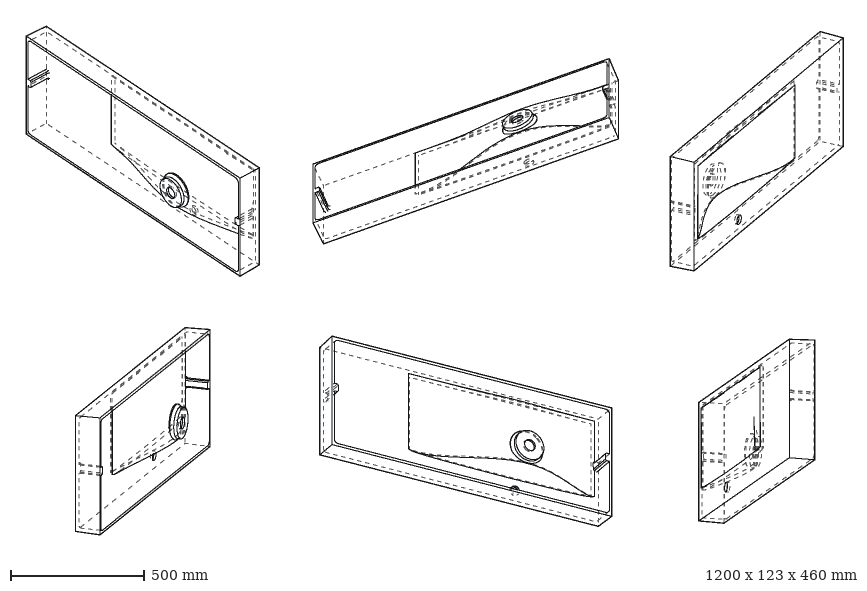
import cadquery as cq
import math

length = 1200.0
width = 460.0
height = 100.0
side_draft = 2.0

floor_thickness = 10.0
side_wall = 10.0
top_wall = 12.0
bottom_wall = 11.0
pocket_corner = 17.0
floor_fillet = 7.0

lug_reach = 18.0
lug_width = 32.0
lug_bevel = 5.0
lug_z = 17.0

bowl_left = -222.0
bowl_right = 575.0
bowl_edge_gap = 22.0
bowl_top = width / 2 - bowl_edge_gap
bowl_base_end = -112.0
bowl_base = -125.0
bowl_wall_lean = 26.0
bowl_depth = 92.0
bowl_wall = 10.0
least_fade = 0.01
base_power = 0.3
bowl_stations = 17
left_power = 2.0
right_power = 1.3

drain_x = 236.0
drain_z = -30.0
boss_radius = 70.0
boss_root_y = 12.0
boss_shoulder_y = 2.0
boss_front_y = -10.0
drain_radius = 60.0
drain_front_y = -23.0
drain_hole_radius = 23.0
drain_hole_depth = 8.0
tap_x = drain_x
tap_z = -170.0
tap_radius = 18.0

floor_y = height - floor_thickness
cut_margin = 12.0


def plane_at(y, x=0.0, z=0.0):
    """Workplane normal to +Y at height y, with local x = X and local y = -Z."""
    return cq.Workplane(cq.Plane(origin=(x, y, z), xDir=(1, 0, 0), normal=(0, 1, 0)))


def make_block():
    """Outer block, widest at its open face and leaning in towards the back."""
    taper = math.degrees(math.atan(side_draft / height))
    return plane_at(0).rect(length, width).extrude(height, taper=taper)


def make_lug(side):
    """Bevelled bar on one end wall, standing from the floor to the rim (side is -1 or 1)."""
    wall_x = side * (length / 2 - side_wall)
    tip_x = wall_x - side * lug_reach
    half = lug_width / 2
    lug = plane_at(0, z=lug_z).polyline([
        (wall_x, -half),
        (tip_x + side * lug_bevel, -half),
        (tip_x, -half + lug_bevel),
        (tip_x, half - lug_bevel),
        (tip_x + side * lug_bevel, half),
        (wall_x, half),
    ])
    return lug.close().extrude(floor_y)


def make_pocket():
    """Void of the tray: rounded corners, lugs left standing and a filleted floor."""
    pocket_width = width - top_wall - bottom_wall
    pocket_z = (bottom_wall - top_wall) / 2
    pocket = (
        plane_at(0, z=pocket_z)
        .rect(length - 2 * side_wall, pocket_width)
        .extrude(floor_y)
        .edges("|Y").fillet(pocket_corner)
    )
    for side in (-1, 1):
        pocket = pocket.cut(make_lug(side))
    return pocket.faces(">Y").edges().fillet(floor_fillet)


def bowl_fade(x):
    """Fraction of the full bowl depth reached at x: almost 0 at both ends, 1 above the drain."""
    if x < drain_x:
        reach, power = (x - bowl_left) / (drain_x - bowl_left), left_power
    else:
        reach, power = (bowl_right - x) / (bowl_right - drain_x), right_power
    return max(math.sin(math.pi / 2 * max(reach, 0)) ** power, least_fade)


def bowl_section(x, inset, root_y):
    """YZ section of the bowl at x: a quarter-ellipse crown and a steep lower wall."""
    fade = bowl_fade(x)
    depth = bowl_depth * fade
    start_y = floor_y + inset
    travel = (x - bowl_left) / (bowl_right - bowl_left)
    bow = max(math.sin(math.pi * travel), 0) ** base_power
    base_z = bowl_base_end + (bowl_base - bowl_base_end) * bow + inset
    ridge_z = base_z + bowl_wall_lean * fade
    top_z = bowl_top - inset
    crown = cq.Edge.makeEllipse(
        top_z - ridge_z, depth,
        pnt=cq.Vector(x, start_y, ridge_z), dir=cq.Vector(1, 0, 0), xdir=cq.Vector(0, 0, 1),
        angle1=0, angle2=90,
    )
    corners = [
        cq.Vector(x, start_y - depth, ridge_z),
        cq.Vector(x, start_y, base_z),
        cq.Vector(x, root_y, base_z),
        cq.Vector(x, root_y, top_z),
        cq.Vector(x, start_y, top_z),
    ]
    sides = [cq.Edge.makeLine(start, end) for start, end in zip(corners, corners[1:])]
    return cq.Wire.assembleEdges([crown, *sides])


def make_bowl(inset, root_y):
    """Loft along X of the bowl, shrunk by inset and carried up to root_y with straight sides."""
    first = bowl_left + inset
    last = bowl_right - inset
    xs = [first + (last - first) * i / (bowl_stations - 1) for i in range(bowl_stations)]
    sections = [bowl_section(x, inset, root_y) for x in xs]
    return cq.Workplane(obj=cq.Solid.makeLoft(sections))


def make_boss():
    """Round boss around the drain: a cylinder rooted in the bowl, tapering to the drain's seat."""
    return (
        plane_at(boss_root_y, drain_x, drain_z)
        .circle(boss_radius)
        .extrude(boss_shoulder_y - boss_root_y)
        .faces("<Y").workplane()
        .circle(boss_radius)
        .workplane(offset=boss_shoulder_y - boss_front_y)
        .circle(drain_radius)
        .loft()
    )


def make_basin():
    """Open tray with a hollow bowl, the boss under it and the tap hole."""
    bulge = make_bowl(0.0, floor_y + floor_thickness / 2)
    hollow = make_bowl(bowl_wall, height + cut_margin)
    tap_hole = plane_at(0, tap_x, tap_z).circle(tap_radius).extrude(height)
    return (
        make_block()
        .cut(make_pocket())
        .union(bulge)
        .union(make_boss())
        .cut(hollow)
        .cut(tap_hole)
    )


def make_drain():
    """Round drain on the boss, with a blind hole in its front face."""
    front = plane_at(drain_front_y, drain_x, drain_z)
    disc = front.circle(drain_radius).extrude(boss_front_y - drain_front_y)
    hole = front.circle(drain_hole_radius).extrude(drain_hole_depth)
    return disc.cut(hole)


basin = make_basin()
drain = make_drain()
result = cq.Compound.makeCompound([basin.solids().val(), drain.solids().val()])